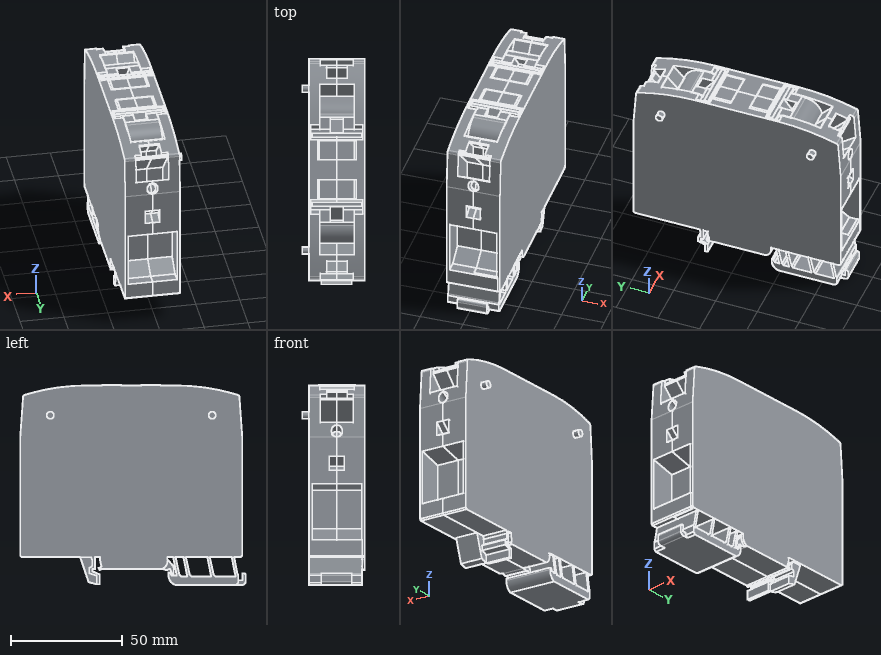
import cadquery as cq
import math


width = 25.0
half_length = 49.7
top_z = 76.9
seam_x = width / 2
shoulder_z = 53.9
crown_end_y = 48.4
crown_end_z = 72.4
flat_half_length = 19.6
base_chamfer = 0.7
crown_fillet = 1.2

tile_width = 17.3
tile_length = 8.5
tile_near_y = 4.5
tile_height = 0.3
tile_top_width = 15.6

lever_width = 15.4
groove_width = 23.3
groove_near_y = 13.4
groove_far_y = 20.0
groove_z = 75.2
strip_width = 22.2
strip_near_y = 14.5
lever_near_y = 16.3
lever_top_z = 76.5
crossbar_top_z = 76.7
crossbar_far_y = 18.0
step_y = 23.5
dome_start_y = 24.9
dome_start_z = 76.0
dome_radius = 8.1
dome_end_y = 32.9
lever_bottom_z = 66.0
pocket_far_y = 38.1
pocket_rim_height = 0.5
window_width = 5.9
window_near_y = 16.5
window_far_y = 22.6
window_depth = 8.0
window_slope = 1.3

entry_width = 14.8
entry_lip_z = 60.7
entry_roof_z = 70.4
entry_bar_z = 71.2
entry_undercut = 1.0
entry_roof_slope = 1.05
entry_floor_slope = 0.75
entry_top_y = 46.6
entry_end_y = 35.0
upper_slot_width = 9.1
upper_slot_near_y = 45.6
upper_slot_far_y = 40.9
upper_slot_rim_height = 0.7
upper_slot_end_y = 34.6
screw_z = 56.5
screw_radius = 2.6
screw_tip_radius = 2.1
screw_depth = 4.5
screw_lead = 2.0
screw_tilt = 28.0
test_slot_width = 6.6
test_slot_top_z = 45.1
test_slot_apex_z = 40.8
test_slot_bottom_z = 38.8
test_slot_depth = 4.8
recess_width = 22.2
recess_top_z = 32.9
recess_roof_z = 30.0
recess_back_z = 12.7
recess_sill_z = 7.8
recess_depth = 12.0
recess_flat_depth = 4.9
sill_thickness = 1.2
sill_width = 23.85

seat_z = -5.3
foot_bottom_z = -12.5
foot_floor_z = -8.6
tab_width = 13.8
tab_start_x = 5.45
tab_front_y = -51.27
foot_front_y = -47.9
foot_corner_chamfer = 1.1
inner_slat_ys = (-18.7, -23.3, -34.0)
front_slat_y = -44.9
slat_lean = 1.7
slat_thickness = 1.2
front_slat_foot_z = -7.2
front_slat_ledge = 0.4
slat_root = 0.8

pin_radius = 1.6
pin_y = 36.2
pin_z = 63.5
pin_projection = 3.0
pin_seat_depth = 3.0


def extrude_x(profile, x_start, x_length):
    """Extrude a closed (Y, Z) outline along X."""
    return profile.extrude(x_length).translate((x_start, 0, 0))


def centred_prism(points, x_width):
    """Prism of a (Y, Z) polygon, centred across the block."""
    outline = cq.Workplane("YZ").polyline(points).close()
    return extrude_x(outline, (width - x_width) / 2, x_width)


def block(x_start, x_end, y_start, y_end, z_start, z_end):
    size = (x_end - x_start, y_end - y_start, z_end - z_start)
    return cq.Workplane("XY").box(*size, centered=False).translate((x_start, y_start, z_start))


def rear(shape):
    """Copy of a front feature at the rear end."""
    return shape.mirror("XZ")


def both_ends(shape):
    return [shape, rear(shape)]


def crown_radius():
    """Radius of the top curve, tangent to the flat middle."""
    run = crown_end_y - flat_half_length
    drop = top_z - crown_end_z
    return (run**2 + drop**2) / (2 * drop)


def crown_z(y):
    radius = crown_radius()
    return top_z - radius + math.sqrt(radius**2 - (y - flat_half_length) ** 2)


def envelope():
    """Outer shape of the closed housing."""
    mid_y = (flat_half_length + crown_end_y) / 2
    outline = (
        cq.Workplane("YZ")
        .moveTo(-half_length, 0)
        .lineTo(half_length, 0)
        .lineTo(half_length, shoulder_z)
        .lineTo(crown_end_y, crown_end_z)
        .threePointArc((mid_y, crown_z(mid_y)), (flat_half_length, top_z))
        .lineTo(-flat_half_length, top_z)
        .threePointArc((-mid_y, crown_z(mid_y)), (-crown_end_y, crown_end_z))
        .lineTo(-half_length, shoulder_z)
        .close()
    )
    body = outline.extrude(width)
    for sign in (-1, 1):
        at_corner = cq.selectors.NearestToPointSelector((seam_x, sign * crown_end_y, crown_end_z))
        body = body.edges(at_corner).fillet(crown_fillet)
        at_base = cq.selectors.NearestToPointSelector((seam_x, sign * half_length, 0))
        body = body.edges(at_base).chamfer(base_chamfer)
    return body


def tile():
    """Low raised field with bevelled sides."""
    outline = (
        cq.Workplane("XZ", origin=(seam_x, -tile_near_y, top_z))
        .moveTo(-tile_width / 2, 0)
        .lineTo(tile_width / 2, 0)
        .lineTo(tile_top_width / 2, tile_height)
        .lineTo(-tile_top_width / 2, tile_height)
        .close()
    )
    return outline.extrude(tile_length)


def dome_mid_point():
    """Point of the lever dome halfway along its run."""
    run = (dome_end_y - dome_start_y) / 2
    drop = dome_radius - math.sqrt(dome_radius**2 - run**2)
    return (-dome_start_y - run, dome_start_z - drop)


def dome_end_z():
    run = dome_end_y - dome_start_y
    return dome_start_z - dome_radius + math.sqrt(dome_radius**2 - run**2)


def lever_crossbar():
    side = (width - groove_width) / 2
    return block(side, width - side, -crossbar_far_y, -lever_near_y, groove_z, crossbar_top_z)


def front_lever():
    """Lever with a domed end, a crossbar and a slanting tool window."""
    outline = (
        cq.Workplane("YZ")
        .moveTo(-lever_near_y, lever_bottom_z)
        .lineTo(-lever_near_y, lever_top_z)
        .lineTo(-step_y, lever_top_z)
        .lineTo(-dome_start_y, dome_start_z)
        .threePointArc(dome_mid_point(), (-dome_end_y, dome_end_z()))
        .lineTo(-dome_end_y, lever_bottom_z)
        .close()
    )
    body = extrude_x(outline, (width - lever_width) / 2, lever_width)
    drift = window_depth / window_slope
    window = centred_prism(
        [
            (-window_near_y, crossbar_top_z),
            (-window_far_y, crossbar_top_z),
            (-window_far_y, lever_top_z),
            (-window_far_y - drift, crossbar_top_z - window_depth),
            (-window_near_y - drift, crossbar_top_z - window_depth),
        ],
        window_width,
    )
    return body.union(lever_crossbar()).cut(window)


def lever_pocket():
    """Space for the lever, open above its dome and sloping up to the top at its far end."""
    return centred_prism(
        [
            (-lever_near_y, lever_bottom_z),
            (-lever_near_y, top_z + 1),
            (-pocket_far_y, top_z + 1),
            (-pocket_far_y, crown_z(pocket_far_y) - pocket_rim_height),
            (-dome_end_y, dome_end_z()),
            (-dome_end_y, lever_bottom_z),
        ],
        lever_width,
    )


def strip_groove():
    """Cross groove whose far side slopes up to the top."""
    return centred_prism(
        [
            (-groove_near_y, groove_z),
            (-groove_near_y, top_z + 1),
            (-groove_far_y, top_z + 1),
            (-groove_far_y, crown_z(groove_far_y)),
            (-crossbar_far_y, groove_z),
        ],
        groove_width,
    )


def front_strip():
    """Marker strip lying beside the lever crossbar."""
    side = (width - strip_width) / 2
    return block(side, width - side, -lever_near_y, -strip_near_y, groove_z, top_z)


def entry_fall(start_y, end_y):
    """Drop of a slanting entry wall between two distances from the middle."""
    return entry_roof_slope * (start_y - end_y)


def wire_entry():
    """Wide slot that opens through the upper corner and runs inwards and down."""
    outside_y = half_length + 1
    return centred_prism(
        [
            (-outside_y, top_z),
            (-entry_top_y, top_z),
            (-entry_top_y, crown_z(entry_top_y)),
            (-entry_top_y + entry_undercut, entry_bar_z),
            (-entry_top_y, entry_bar_z),
            (-entry_top_y, entry_roof_z),
            (-entry_end_y, entry_roof_z - entry_fall(entry_top_y, entry_end_y)),
            (-entry_end_y, entry_lip_z - entry_floor_slope * (half_length - entry_end_y)),
            (-half_length, entry_lip_z),
            (-outside_y, entry_lip_z),
        ],
        entry_width,
    )


def upper_slot():
    """Narrow slot in the top, parallel to the wire entry and parted from it by a low bar."""
    rim_z = crown_z(upper_slot_far_y) - upper_slot_rim_height
    return centred_prism(
        [
            (-entry_top_y, top_z),
            (-upper_slot_far_y, top_z),
            (-upper_slot_far_y, rim_z),
            (-upper_slot_end_y, rim_z - entry_fall(upper_slot_far_y, upper_slot_end_y)),
            (-upper_slot_end_y, entry_bar_z - entry_fall(upper_slot_near_y, upper_slot_end_y)),
            (-upper_slot_near_y, entry_bar_z),
            (-entry_top_y, entry_bar_z),
        ],
        upper_slot_width,
    )


def screw_access():
    """Slightly tapering round hole that leads inwards and down."""
    tilt = math.radians(screw_tilt)
    axis = cq.Vector(0, math.cos(tilt), -math.sin(tilt))
    mouth = cq.Vector(seam_x, -half_length, screw_z)
    start = mouth - axis * screw_lead
    length = screw_lead + screw_depth
    return cq.Workplane(cq.Solid.makeCone(screw_radius, screw_tip_radius, length, start, axis))


def test_slot():
    """Square-mouthed slot with a V-shaped inside."""
    return centred_prism(
        [
            (-half_length, test_slot_top_z),
            (-half_length + test_slot_depth, test_slot_apex_z),
            (-half_length, test_slot_bottom_z),
        ],
        test_slot_width,
    )


def end_recess():
    """Large recess with a sloping roof and a floor rising towards its back."""
    return centred_prism(
        [
            (-half_length, recess_sill_z),
            (-half_length, recess_top_z),
            (-half_length + recess_depth, recess_roof_z),
            (-half_length + recess_depth, recess_back_z),
            (-half_length + recess_flat_depth, recess_sill_z),
        ],
        recess_width,
    )


def rail_seat():
    """Block under the housing that rests on the rail, with a rear lip."""
    outline = (
        cq.Workplane("YZ")
        .moveTo(14.0, 0)
        .lineTo(14.0, -1.4)
        .lineTo(13.4, -4.1)
        .lineTo(14.1, -4.7)
        .lineTo(14.7, -4.7)
        .lineTo(14.2, -5.8)
        .lineTo(13.4, seat_z)
        .lineTo(-13.6, seat_z)
        .threePointArc((-15.5, -3.9), (-16.2, -1.0))
        .lineTo(-16.2, 0)
        .close()
    )
    return extrude_x(outline, 0, width)


def rail_hook():
    """Front hook of the right half that reaches under the rail edge."""
    outline = (
        cq.Workplane("YZ")
        .moveTo(-13.6, seat_z)
        .lineTo(-15.9, -5.8)
        .lineTo(-17.2, seat_z)
        .lineTo(-18.2, -7.3)
        .lineTo(-19.1, -7.4)
        .lineTo(-19.0, -4.1)
        .lineTo(-16.2, -1.0)
        .lineTo(-13.6, -1.0)
        .close()
    )
    return extrude_x(outline, seam_x, sill_width - seam_x)


def rear_arm():
    """Wedge-shaped arm of the right half, behind the rail."""
    points = [
        (22.9, 0),
        (18.0, 0),
        (17.4, -1.4),
        (17.4, -3.9),
        (18.7, -4.8),
        (18.7, -7.2),
        (15.4, -8.3),
        (15.4, -12.2),
        (19.1, -11.2),
    ]
    return extrude_x(cq.Workplane("YZ").polyline(points).close(), seam_x, sill_width - seam_x)


def rail_clip():
    """Bent strip of the left half that grips the rear edge of the rail."""
    points = [
        (18.0, 0),
        (17.4, -1.4),
        (17.4, -3.9),
        (18.7, -4.8),
        (18.7, -7.2),
        (15.4, -8.3),
        (15.4, -12.2),
        (14.0, -12.2),
        (14.0, -7.7),
        (17.3, -6.3),
        (17.3, seat_z),
        (16.2, seat_z),
        (16.2, 0),
    ]
    return extrude_x(cq.Workplane("YZ").polyline(points).close(), 0, seam_x)


def inner_slat(top_y):
    """Leaning wall between the foot and the housing, flared at its root."""
    front_y = top_y - slat_thickness - slat_lean
    points = [
        (top_y, 0),
        (top_y - slat_thickness, 0),
        (front_y, foot_floor_z + slat_root),
        (front_y - slat_root, foot_floor_z),
        (top_y - slat_lean, foot_floor_z),
    ]
    return extrude_x(cq.Workplane("YZ").polyline(points).close(), 0, sill_width)


def front_slat():
    """Leaning wall that closes the front of the foot."""
    points = [
        (front_slat_y, 0),
        (front_slat_y - slat_thickness, 0),
        (foot_front_y + front_slat_ledge, front_slat_foot_z),
        (foot_front_y, front_slat_foot_z - 2 * front_slat_ledge),
        (foot_front_y, foot_floor_z),
        (front_slat_y - slat_lean, foot_floor_z),
    ]
    return extrude_x(cq.Workplane("YZ").polyline(points).close(), 0, sill_width)


def foot():
    """Sliding foot: base with a rail nose and a front pull tab, carried by leaning slats."""
    base = (
        cq.Workplane("YZ")
        .moveTo(foot_front_y, foot_bottom_z + foot_corner_chamfer)
        .lineTo(foot_front_y + foot_corner_chamfer, foot_bottom_z)
        .lineTo(-19.8, foot_bottom_z)
        .threePointArc((-17.6, -10.9), (-16.6, -7.6))
        .lineTo(-16.6, -6.8)
        .lineTo(-17.5, -6.8)
        .lineTo(-18.1, -8.1)
        .lineTo(-20.0, -8.2)
        .lineTo(-21.0, foot_floor_z)
        .lineTo(foot_front_y, foot_floor_z)
        .close()
    )
    body = extrude_x(base, 0, sill_width)
    for top_y in inner_slat_ys:
        body = body.union(inner_slat(top_y))
    return body.union(front_slat()).union(pull_tab())


def pull_tab():
    """Upturned lip on the front of the foot."""
    lip_thickness = 1.5
    lip_top_z = -7.1
    ledge_z = -10.3
    corner_radius = 1.8
    lip_radius = 0.9
    outline = (
        cq.Workplane("YZ")
        .moveTo(foot_front_y + foot_corner_chamfer, foot_bottom_z)
        .lineTo(tab_front_y + corner_radius, foot_bottom_z)
        .radiusArc((tab_front_y, foot_bottom_z + corner_radius), corner_radius)
        .lineTo(tab_front_y, lip_top_z - lip_radius)
        .radiusArc((tab_front_y + lip_radius, lip_top_z), lip_radius)
        .lineTo(tab_front_y + lip_thickness, lip_top_z)
        .lineTo(tab_front_y + lip_thickness, ledge_z)
        .lineTo(foot_front_y + foot_corner_chamfer, ledge_z)
        .close()
    )
    return extrude_x(outline, tab_start_x, tab_width)


def pin(y):
    return (
        cq.Workplane("YZ", origin=(-pin_projection, y, pin_z))
        .circle(pin_radius)
        .extrude(pin_projection + pin_seat_depth)
    )


def closed_housing(pins):
    body = envelope().union(rail_seat()).union(rail_hook()).union(rear_arm()).union(rail_clip())
    for raised in both_ends(tile()):
        body = body.union(raised)
    for feature in (lever_pocket, strip_groove, wire_entry, upper_slot, screw_access, test_slot, end_recess):
        for tool in both_ends(feature()):
            body = body.cut(tool)
    for fitted_pin in pins:
        body = body.cut(fitted_pin)
    return body


def left_region():
    """Space of the left half, which also carries the whole sill under the front recess."""
    margin = 5.0
    half = block(-margin, seam_x, -half_length - margin, half_length + margin,
                 foot_bottom_z - margin, top_z + margin)
    sill = block(0, sill_width, -half_length, -half_length + sill_thickness, 0, recess_sill_z)
    return half.union(sill)


pins = [pin(-pin_y), pin(pin_y)]
housing = closed_housing(pins)
left_housing = housing.intersect(left_region())
right_housing = housing.cut(left_region())
levers = both_ends(front_lever())
strips = both_ends(front_strip())

bodies = [left_housing, right_housing, foot(), *levers, *strips, *pins]
result = cq.Compound.makeCompound([body.val() for body in bodies])